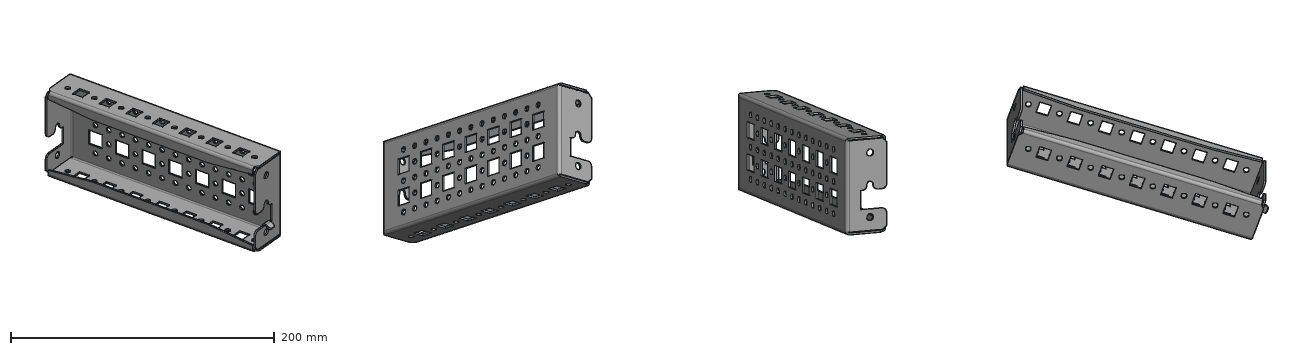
import cadquery as cq
import math

total_length = 203.3
latch_reach = 6.3
length = total_length - latch_reach
depth = 34.0
height = 75.0

thickness = 1.5
inner_bend = 1.0
outer_bend = inner_bend + thickness
seam_gap = 0.6

square_pitch = 25.0
hole_pitch = square_pitch / 2
square_columns = 7
hole_diameter = 4.3
back_square = 12.5
flange_square = 9.4
mount_diameter = 5.5
hole_setback = 14.0

lip_inset = 2.6
lip_end_height = 6.0
lip_mid_height = 10.2
lip_taper_run = 41.7
wall_corner_cut = 2.8
end_corner_cut = 3.0

notch_depth = 21.8
notch_top = -3.9
notch_bottom = -18.7
notch_corner_radius = 4.0
relief_flare_radius = -notch_top

latch_width = 6.0
latch_droop = 30.0
latch_tip_radius = 2.0

half_length = length / 2
half_height = height / 2
front_y = -depth / 2
back_y = depth / 2
hole_y = front_y + hole_setback


def box(x0, x1, y0, y1, z0, z1):
    """Axis-aligned box between two opposite corners."""
    return cq.Workplane("XY").box(x1 - x0, y1 - y0, z1 - z0, centered=False).translate((x0, y0, z0))


def make_tray():
    """Open tray: back plate with four walls bent forward."""
    inner_x = half_length - thickness
    inner_z = half_height - thickness
    outside = box(-half_length, half_length, front_y, back_y, -half_height, half_height)
    outside = outside.faces(">Y").edges().fillet(outer_bend)
    inside = box(-inner_x, inner_x, front_y, back_y - thickness, -inner_z, inner_z)
    inside = inside.faces(">Y").edges().fillet(inner_bend)
    return outside.cut(inside)


def make_top_lip():
    """Lip bent down from the front of the top wall, deeper in the middle than at its ends."""
    lip_half = half_length - lip_inset
    bend_y = front_y + outer_bend
    bend_z = half_height - outer_bend
    section = (
        cq.Workplane("YZ", origin=(-lip_half, 0, 0))
        .moveTo(bend_y, half_height)
        .radiusArc((front_y, bend_z), -outer_bend)
        .lineTo(front_y, half_height - lip_mid_height)
        .lineTo(front_y + thickness, half_height - lip_mid_height)
        .lineTo(front_y + thickness, bend_z)
        .radiusArc((bend_y, half_height - thickness), inner_bend)
        .close()
        .extrude(2 * lip_half)
    )
    mid_half = lip_half - lip_taper_run
    outline = (
        cq.Workplane("XZ", origin=(0, front_y + outer_bend, 0))
        .moveTo(-lip_half, half_height)
        .lineTo(-lip_half, half_height - lip_end_height)
        .lineTo(-mid_half, half_height - lip_mid_height)
        .lineTo(mid_half, half_height - lip_mid_height)
        .lineTo(lip_half, half_height - lip_end_height)
        .lineTo(lip_half, half_height)
        .close()
        .extrude(outer_bend)
    )
    return section.intersect(outline)


def trim_top_wall(body):
    """Clear the front of the top wall for the lip and cut its front corners at 45 degrees."""
    inner_x = half_length - lip_inset
    corner_y = front_y + outer_bend
    trim = (
        cq.Workplane("XY", origin=(0, 0, half_height - thickness))
        .moveTo(-half_length, front_y)
        .lineTo(half_length, front_y)
        .lineTo(half_length, corner_y + wall_corner_cut)
        .lineTo(inner_x, corner_y)
        .lineTo(-inner_x, corner_y)
        .lineTo(-half_length, corner_y + wall_corner_cut)
        .close()
        .extrude(thickness)
    )
    return body.cut(trim)


def trim_end_walls(body):
    """Open the seam between the end walls and the top wall, and cut the top front corners."""
    wall_top = half_height - thickness - seam_gap
    trim = (
        cq.Workplane("YZ", origin=(-half_length, 0, 0))
        .moveTo(back_y - thickness, half_height - thickness)
        .lineTo(back_y - thickness, wall_top)
        .lineTo(front_y + end_corner_cut, wall_top)
        .lineTo(front_y, wall_top - end_corner_cut)
        .lineTo(front_y, half_height - thickness)
        .close()
        .extrude(length)
    )
    middle = box(
        thickness - half_length, half_length - thickness, front_y, back_y, -half_height, half_height
    )
    return body.cut(trim.cut(middle))


def make_notch():
    """Notch through both end walls, with a round-topped relief above it."""
    opening = box(
        -half_length, half_length, front_y - notch_depth, front_y + notch_depth, notch_bottom, notch_top
    )
    r = mount_diameter / 2
    flare = relief_flare_radius
    relief = (
        cq.Workplane("YZ", origin=(-half_length, 0, 0))
        .moveTo(hole_y - r - flare, notch_top)
        .radiusArc((hole_y - r, 0), -flare)
        .threePointArc((hole_y, r), (hole_y + r, 0))
        .radiusArc((hole_y + r + flare, notch_top), -flare)
        .close()
        .extrude(length)
    )
    return opening.union(relief)


def make_latch():
    """Tongue rising from the notch floor, bent outward over the end wall and drooping."""
    droop = math.radians(latch_droop)
    centre_x = half_length + inner_bend
    tip_x = half_length + latch_reach
    bend_end_x = centre_x + outer_bend * math.sin(droop)
    straight = (tip_x - bend_end_x) / math.cos(droop)

    def on_bend(radius, angle):
        return (centre_x + radius * math.cos(angle), notch_bottom + radius * math.sin(angle))

    def along_tongue(point):
        return (point[0] + straight * math.cos(droop), point[1] - straight * math.sin(droop))

    end_angle = math.pi / 2 - droop
    mid_angle = (math.pi + end_angle) / 2
    outer_end = on_bend(outer_bend, end_angle)
    inner_end = on_bend(inner_bend, end_angle)
    tongue = (
        cq.Workplane("XZ", origin=(0, hole_y + latch_width / 2, 0))
        .moveTo(*on_bend(outer_bend, math.pi))
        .threePointArc(on_bend(outer_bend, mid_angle), outer_end)
        .lineTo(*along_tongue(outer_end))
        .lineTo(*along_tongue(inner_end))
        .lineTo(*inner_end)
        .threePointArc(on_bend(inner_bend, mid_angle), on_bend(inner_bend, math.pi))
        .close()
        .extrude(latch_width)
    )
    plan = box(
        half_length - thickness, tip_x, hole_y - latch_width / 2, hole_y + latch_width / 2, -height, height
    )
    plan = plan.edges("|Z and >X").fillet(latch_tip_radius)
    return tongue.intersect(plan)


def centred_row(count, pitch):
    """Evenly spaced positions centred on zero."""
    return [(i - (count - 1) / 2) * pitch for i in range(count)]


def back_cutters():
    """Square windows and round holes through the back plate."""
    square_x = centred_row(square_columns, square_pitch)
    between_x = centred_row(square_columns - 1, square_pitch)
    column_x = centred_row(2 * square_columns - 1, hole_pitch)
    square_rows = centred_row(2, square_pitch)
    hole_rows = centred_row(3, square_pitch)
    plane = cq.Workplane("XZ", origin=(0, back_y, 0))
    squares = plane.pushPoints([(x, z) for x in square_x for z in square_rows])
    hole_points = [(x, z) for x in column_x for z in hole_rows]
    hole_points += [(x, z) for x in between_x for z in square_rows]
    holes = plane.pushPoints(hole_points)
    return [
        squares.rect(back_square, back_square).extrude(thickness),
        holes.circle(hole_diameter / 2).extrude(thickness),
    ]


def flange_cutters():
    """Square windows and round holes through the top and bottom walls."""
    plane = cq.Workplane("XY", origin=(0, hole_y, -half_height))
    squares = plane.pushPoints([(x, 0) for x in centred_row(square_columns, square_pitch)])
    holes = plane.pushPoints([(x, 0) for x in centred_row(square_columns + 1, square_pitch)])
    return [
        squares.rect(flange_square, flange_square).extrude(height),
        holes.circle(hole_diameter / 2).extrude(height),
    ]


def mount_cutter():
    """Mounting holes through both end walls."""
    plane = cq.Workplane("YZ", origin=(-half_length, 0, 0))
    points = [(hole_y, -square_pitch), (hole_y, square_pitch)]
    return plane.pushPoints(points).circle(mount_diameter / 2).extrude(length)


def upper_half_features(body):
    """Trim the seams along the top and add the top lip."""
    return trim_end_walls(trim_top_wall(body)).union(make_top_lip())


body = make_tray()
for _ in range(2):
    body = upper_half_features(body).rotate((0, 0, 0), (0, 1, 0), 180)

for cutter in back_cutters() + flange_cutters() + [mount_cutter(), make_notch()]:
    body = body.cut(cutter)

notch_corners = cq.selectors.BoxSelector(
    (-length, front_y - thickness, notch_bottom - thickness),
    (length, front_y + thickness, notch_top + thickness),
)
body = body.edges("|X").edges(notch_corners).fillet(notch_corner_radius)

result = body.union(make_latch())